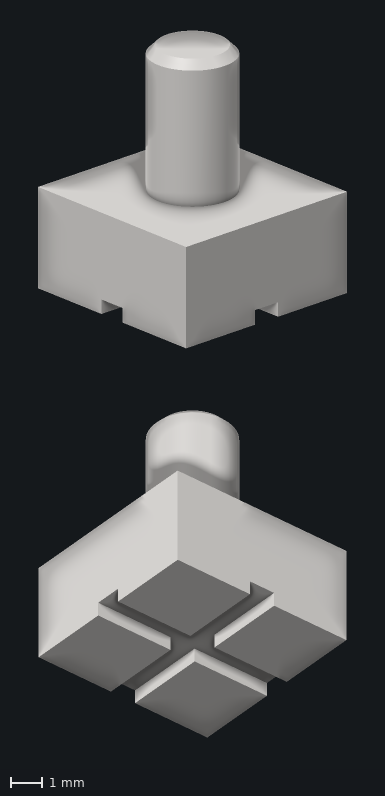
import cadquery as cq

total_height = 8.5
base_side = 7.0
base_height = base_side / 2
stud_diameter = 3.0
stud_chamfer = 0.3
slot_width = 1.0
slot_depth = slot_width / 2

stud_height = total_height - base_height


def make_base():
    """Square block standing on the XY plane."""
    return cq.Workplane("XY").box(base_side, base_side, base_height, centered=(True, True, False))


def make_stud():
    """Round stud on the block, chamfered at its tip."""
    stud = cq.Workplane("XY").workplane(offset=base_height).circle(stud_diameter / 2).extrude(stud_height)
    return stud.faces(">Z").edges().chamfer(stud_chamfer)


def make_slot(length_x, length_y):
    """Cutter for a straight slot in the underside."""
    return cq.Workplane("XY").box(length_x, length_y, slot_depth, centered=(True, True, False))


result = make_base().union(make_stud())

for slot_size in ((base_side, slot_width), (slot_width, base_side)):
    result = result.cut(make_slot(*slot_size))